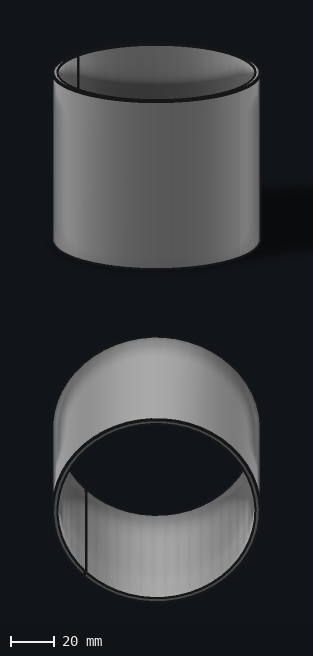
import cadquery as cq

outer_diameter = 95.0
wall_thickness = 2.5
length = 80.0
outer_chamfer = 0.5
bore_chamfer = 0.2
split_gap = 0.8

outer_radius = outer_diameter / 2
inner_radius = outer_radius - wall_thickness
split_cut_depth = 2 * wall_thickness


def make_sleeve():
    """Plain tube with the outer and bore edges of both ends chamfered."""
    body = cq.Workplane("XY").circle(outer_radius).extrude(length)
    body = body.faces("<Z or >Z").chamfer(outer_chamfer)
    bore = cq.Workplane("XY").circle(inner_radius).extrude(length)
    body = body.cut(bore)
    bore_edges = cq.selectors.RadiusNthSelector(0)
    return body.faces("<Z or >Z").edges(bore_edges).chamfer(bore_chamfer)


def make_split():
    """Full-length slot that opens the wall on the -X side."""
    slot = cq.Workplane("XY").box(split_cut_depth, split_gap, length, centered=False)
    return slot.translate((-outer_radius, 0, 0))


result = make_sleeve().cut(make_split())